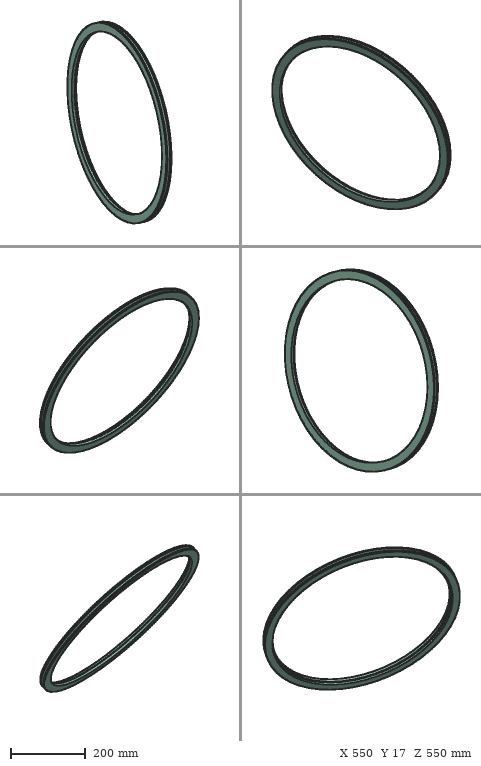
import cadquery as cq

outer_radius = 550 / 2
bore_radius = 501.0 / 2
width = 17.0
edge_chamfer = 0.5

recess_radius = 509.0 / 2
recess_depth = 7.5

front_land = 4.0
back_land = 5.5
groove_depth = 4.5

front = -width / 2
back = width / 2
recess_floor = back - recess_depth
groove_front = front + front_land
groove_back = back - back_land
groove_middle = (groove_front + groove_back) / 2

groove_bottom_radius = outer_radius - groove_depth
face_radius = outer_radius - edge_chamfer


def ring_section():
    """Half section of the ring: radius along X, ring axis along Y."""
    return (
        cq.Workplane("XY")
        .moveTo(bore_radius, front)
        .lineTo(face_radius, front)
        .lineTo(outer_radius, front + edge_chamfer)
        .lineTo(outer_radius, groove_front)
        .threePointArc((groove_bottom_radius, groove_middle), (outer_radius, groove_back))
        .lineTo(outer_radius, back - edge_chamfer)
        .lineTo(face_radius, back)
        .lineTo(recess_radius, back)
        .lineTo(recess_radius, recess_floor)
        .lineTo(bore_radius, recess_floor)
        .close()
    )


result = ring_section().revolve(360, (0, 0, 0), (0, 1, 0))